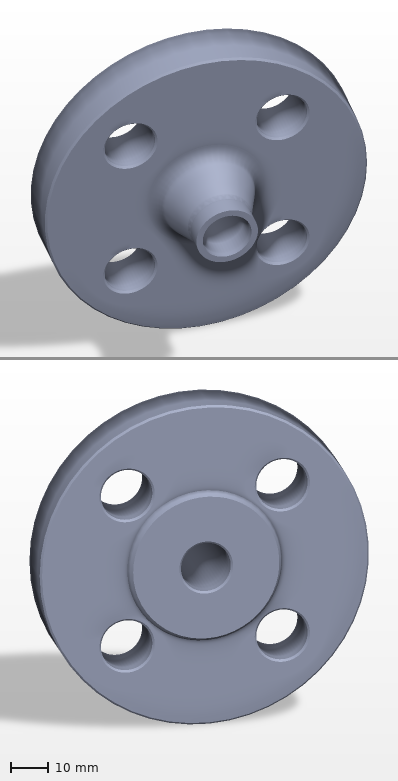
import cadquery as cq
import math

total_length = 35.0
flange_diameter = 90.0
raised_face_height = 2.0
raised_face_diameter = 40.0
raised_face_base_diameter = 42.3
flange_thickness = 14.0
edge_chamfer = 0.5

weld_end_diameter = 17.2
cone_base_diameter = 27.7
cone_end_x = 29.1
neck_root_fillet = 3.8
weld_end_fillet = 4.5

bore_diameter = 13.6
bolt_hole_diameter = 14.0
bolt_circle_diameter = 60.0
bolt_count = 4
first_bolt_angle = 45.0
hole_chamfer = 0.5

flange_back_x = raised_face_height + flange_thickness


def cylinder(start_x, length, diameter, y=0, z=0):
    return cq.Workplane("YZ", origin=(start_x, y, z)).circle(diameter / 2).extrude(length)


def frustum(start_x, start_diameter, end_x, end_diameter, y=0, z=0):
    """Cone section along X, centred at the given Y and Z."""
    profile = (
        cq.Workplane("XY")
        .moveTo(start_x, 0)
        .lineTo(start_x, start_diameter / 2)
        .lineTo(end_x, end_diameter / 2)
        .lineTo(end_x, 0)
        .close()
    )
    return profile.revolve(360, (0, 0, 0), (1, 0, 0)).translate((0, y, z))


def circle_at(x, diameter):
    """Selector for the circular edge of the given diameter in the plane at x."""
    margin = 0.1
    reach = diameter / 2 + margin
    return cq.selectors.BoxSelector(
        (x - margin, -reach, -reach), (x + margin, reach, reach), boundingbox=True
    )


def make_neck_flange():
    disc = cylinder(raised_face_height, flange_thickness, flange_diameter)
    disc = disc.edges("%CIRCLE").chamfer(edge_chamfer)
    raised_face = frustum(0, raised_face_diameter, raised_face_height, raised_face_base_diameter)
    cone = frustum(flange_back_x, cone_base_diameter, cone_end_x, weld_end_diameter)
    weld_end = cylinder(cone_end_x, total_length - cone_end_x, weld_end_diameter)
    body = disc.union(raised_face).union(cone).union(weld_end)
    body = body.edges(circle_at(cone_end_x, weld_end_diameter)).fillet(weld_end_fillet)
    return body.edges(circle_at(flange_back_x, cone_base_diameter)).fillet(neck_root_fillet)


def bore_cutter():
    mouth = frustum(0, bore_diameter + 2 * hole_chamfer, hole_chamfer, bore_diameter)
    return cylinder(0, total_length, bore_diameter).union(mouth)


def bolt_hole_cutter(y, z):
    """Through hole with a chamfer at both flange faces."""
    mouth_diameter = bolt_hole_diameter + 2 * hole_chamfer
    front_x = raised_face_height
    hole = cylinder(front_x, flange_thickness, bolt_hole_diameter, y, z)
    front = frustum(front_x, mouth_diameter, front_x + hole_chamfer, bolt_hole_diameter, y, z)
    back = frustum(flange_back_x - hole_chamfer, bolt_hole_diameter, flange_back_x, mouth_diameter, y, z)
    return hole.union(front).union(back)


result = make_neck_flange().cut(bore_cutter())
for index in range(bolt_count):
    angle = math.radians(first_bolt_angle + index * 360 / bolt_count)
    hole_y = bolt_circle_diameter / 2 * math.cos(angle)
    hole_z = bolt_circle_diameter / 2 * math.sin(angle)
    result = result.cut(bolt_hole_cutter(hole_y, hole_z))